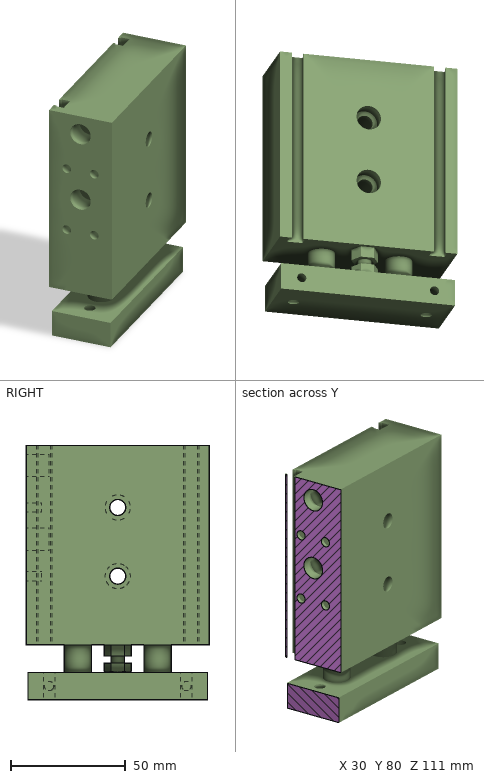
import cadquery as cq
import math

plate_width = 28.0
plate_length = 78.5
plate_height = 12.0
plate_hole_y = 30.0
plate_hole_diameter = 5.0
side_hole_diameter = 4.1
side_hole_depth = 8.0

rod_diameter = 12.0
rod_height = 12.0
rod_y = 17.4

housing_width = 30.0
housing_length = 80.0
housing_top = 111.0
housing_bottom = plate_height + rod_height
housing_height = housing_top - housing_bottom
housing_left = -housing_width / 2

slot_y = 32.1
slot_mouth = 5.3
slot_inner_width = 6.9
slot_depth = 5.0
slot_lip = 1.1

mount_levels = (54.0, 83.9)
mount_diameter = 6.9
counterbore_diameter = 11.0
counterbore_depth = 6.5
tapped_diameter = 4.1
tapped_x = 6.5
tapped_depth = 6.7

port_levels = (70.0, 102.2)
port_diameter = 9.8
port_depth = 10.0

bolt_x = -7.8
hex_corners = 12.0
hex_flats = hex_corners * math.cos(math.pi / 6)
shank_diameter = 6.0
head_height = 4.9
nut_height = 4.0
chamfer_angle = math.radians(30)


def cylinder(diameter, length, start, direction):
    """Solid cylinder from a start point along a direction."""
    axis = cq.Vector(*direction)
    return cq.Workplane(cq.Solid.makeCylinder(diameter / 2, length, cq.Vector(*start), axis))


def slot_cutter(y):
    """T-slot running the full height of the housing."""
    mouth = cq.Workplane().box(slot_depth, slot_mouth, housing_height, centered=(False, True, False))
    inner = cq.Workplane().box(
        slot_depth - slot_lip, slot_inner_width, housing_height, centered=(False, True, False)
    )
    return mouth.union(inner.translate((slot_lip, 0, 0))).translate((housing_left, y, housing_bottom))


def make_housing():
    """Rectangular block with slots, mounting holes, tapped holes and ports."""
    block = cq.Workplane().box(housing_width, housing_length, housing_height, centered=(True, True, False))
    block = block.translate((0, 0, housing_bottom))
    for y in (-slot_y, slot_y):
        block = block.cut(slot_cutter(y))

    front_y = -housing_length / 2
    for z in mount_levels:
        block = block.cut(cylinder(mount_diameter, housing_width, (housing_left, 0, z), (1, 0, 0)))
        block = block.cut(cylinder(counterbore_diameter, counterbore_depth, (housing_left, 0, z), (1, 0, 0)))
        for x in (-tapped_x, tapped_x):
            block = block.cut(cylinder(tapped_diameter, tapped_depth, (x, front_y, z), (0, 1, 0)))

    for z in port_levels:
        block = block.cut(cylinder(port_diameter, port_depth, (0, front_y, z), (0, 1, 0)))
    return block


def make_rod_plate():
    """End plate with its two guide rods and its fixing holes."""
    plate = cq.Workplane().box(plate_width, plate_length, plate_height, centered=(True, True, False))
    for side in (-1, 1):
        hole_y = side * plate_hole_y
        side_hole_start = (-plate_width / 2, hole_y, plate_height / 2)
        plate = plate.union(cylinder(rod_diameter, rod_height, (0, side * rod_y, plate_height), (0, 0, 1)))
        plate = plate.cut(cylinder(plate_hole_diameter, plate_height, (0, hole_y, 0), (0, 0, 1)))
        plate = plate.cut(cylinder(side_hole_diameter, side_hole_depth, side_hole_start, (1, 0, 0)))
    return plate


def hexagon(height):
    """Hexagonal prism with two flats facing along X."""
    return cq.Workplane().polygon(6, hex_corners).extrude(height).rotate((0, 0, 0), (0, 0, 1), 90)


def make_stop_bolt():
    """Hexagon head and nut on one shank, the nut's corners chamfered underneath."""
    cone_radius = hex_flats / 2 + nut_height / math.tan(chamfer_angle)
    cone = cq.Workplane(cq.Solid.makeCone(hex_flats / 2, cone_radius, nut_height))
    nut = hexagon(nut_height).intersect(cone)
    head = hexagon(head_height).translate((0, 0, rod_height - head_height))
    shank = cq.Workplane().circle(shank_diameter / 2).extrude(rod_height)
    return shank.union(nut).union(head).translate((bolt_x, 0, plate_height))


housing = make_housing()
rod_plate = make_rod_plate()
stop_bolt = make_stop_bolt()

result = cq.Compound.makeCompound([housing.val(), rod_plate.val(), stop_bolt.val()])